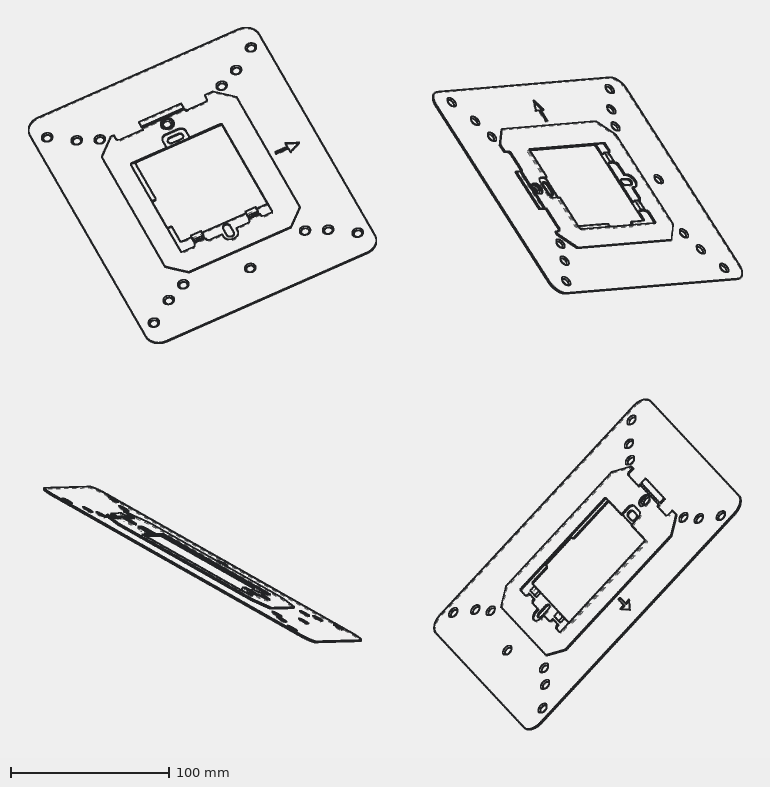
import cadquery as cq

TILT_ABOUT_Y = 33.3
TILT_ABOUT_X = 20.0

PLATE_LENGTH = 200.0
PLATE_WIDTH = 160.0
SHEET_THICKNESS = 1.0
PLATE_CORNER_RADIUS = 10.0

HOLE_DIAMETER = 5.0
HOLE_MOUTH_DIAMETER = 7.0
CORNER_HOLES = [(83.0, 71.2), (71.5, 55.6), (64.9, 42.5)]
LEFT_HOLE_X = -55.0
RIGHT_HOLE_X = 74.3

ARROW_TIP_Y = 67.5
ARROW_HEAD_LENGTH = 7.8
ARROW_HEAD_WIDTH = 8.1
ARROW_LENGTH = 16.3
ARROW_SHAFT_WIDTH = 1.5

WINDOW_TOP = 30.3
PLATE_WINDOW_LEFT = -37.7
PLATE_WINDOW_RIGHT = 33.8
PLATE_WINDOW_BOTTOM = -WINDOW_TOP
FRAME_WINDOW_LEFT = -37.3
FRAME_WINDOW_RIGHT = 42.1
FRAME_WINDOW_BOTTOM = -33.5
WINDOW_CORNER_RADIUS = 1.0

NOTCH_LEFT = -4.5
NOTCH_RIGHT = 19.6

SLOT_LENGTH = 10.5
SLOT_WIDTH = 4.8
LEFT_SLOT_X = -42.0
RIGHT_SLOT_X = 40.5

FRAME_THICKNESS = SHEET_THICKNESS
FRAME_LEFT = -62.8
FRAME_RIGHT = 58.5
FRAME_WIDTH = 94.3
FRAME_CORNER_CUT = 11.5

RECESS_X = -57.7
RECESS_TOP = 30.0
RECESS_BOTTOM = -33.5
LIP_X = -59.0
LIP_WIDTH = 30.1
LIP_Y = -0.4

HOLE_CLEARANCE_DIAMETER = 8.5
HOLE_CLEARANCE_X = -54.2
LEFT_CLEARANCE_X = -47.1
LEFT_CLEARANCE_WIDTH = 16.0
LEFT_CLEARANCE_RADIUS = 3.7
RIGHT_CLEARANCE_END_X = 48.8
RIGHT_CLEARANCE_WIDTH = 9.8

LUG_X = 39.5
LUG_WIDTH = 8.0
LUG_CENTRES_Y = (18.7, -19.5)
BEND_RADIUS = 2.0

LEFT_STOP_X = -64.3
LEFT_STOP_LENGTH = 4.0
LEFT_STOP_WIDTH = 29.5
LEFT_STOP_Y = -0.5
LEFT_STOP_HEIGHT = FRAME_THICKNESS
RIGHT_STOP_X = PLATE_WINDOW_RIGHT
RIGHT_STOP_LENGTH = 3.9
RIGHT_STOP_WIDTH = 7.2
RIGHT_STOP_HEIGHT = 2 * FRAME_THICKNESS


def block(left, right, bottom, top, height):
    """A block between the given X and Y limits, rising from Z = 0."""
    return cq.Workplane("XY").box(right - left, top - bottom, height, centered=False).translate((left, bottom, 0))


def centred_block(left, right, middle_y, width, height):
    """A block given by its X limits, the Y of its middle and its width."""
    return block(left, right, middle_y - width / 2, middle_y + width / 2, height)


def countersunk_holes():
    """Conical holes, wide end up."""
    centres = [(LEFT_HOLE_X, 0), (RIGHT_HOLE_X, 0)]
    for x, y in CORNER_HOLES:
        centres += [(x, y), (-x, y), (-x, -y), (x, -y)]
    cone = cq.Solid.makeCone(HOLE_DIAMETER / 2, HOLE_MOUTH_DIAMETER / 2, SHEET_THICKNESS)
    return cq.Workplane("XY").pushPoints(centres).eachpoint(cone, combine=False)


def arrow():
    half_head = ARROW_HEAD_WIDTH / 2
    half_shaft = ARROW_SHAFT_WIDTH / 2
    head_y = ARROW_TIP_Y - ARROW_HEAD_LENGTH
    tail_y = ARROW_TIP_Y - ARROW_LENGTH
    right_side = [(half_head, head_y), (half_shaft, head_y), (half_shaft, tail_y)]
    left_side = [(-x, y) for x, y in reversed(right_side)]
    outline = cq.Workplane("XY").polyline([(0, ARROW_TIP_Y)] + right_side + left_side).close()
    return outline.extrude(SHEET_THICKNESS)


def plate_window():
    """Window with a notch in its bottom edge."""
    opening = block(PLATE_WINDOW_LEFT, PLATE_WINDOW_RIGHT, PLATE_WINDOW_BOTTOM, WINDOW_TOP, SHEET_THICKNESS)
    notch = block(NOTCH_LEFT, NOTCH_RIGHT, FRAME_WINDOW_BOTTOM, WINDOW_TOP, SHEET_THICKNESS)
    return opening.union(notch).edges("|Z").fillet(WINDOW_CORNER_RADIUS)


def screw_slot(x, angle):
    return cq.Workplane("XY").center(x, 0).slot2D(SLOT_LENGTH, SLOT_WIDTH, angle).extrude(SHEET_THICKNESS)


def make_plate():
    plate = cq.Workplane("XY").rect(PLATE_LENGTH, PLATE_WIDTH).extrude(SHEET_THICKNESS)
    plate = plate.edges("|Z").fillet(PLATE_CORNER_RADIUS)
    plate = plate.cut(countersunk_holes())
    plate = plate.cut(arrow())
    plate = plate.cut(plate_window())
    plate = plate.cut(screw_slot(LEFT_SLOT_X, 90))
    plate = plate.cut(screw_slot(RIGHT_SLOT_X, 0))
    plate = plate.translate((0, 0, -SHEET_THICKNESS))

    left_stop_end = LEFT_STOP_X + LEFT_STOP_LENGTH
    right_stop_end = RIGHT_STOP_X + RIGHT_STOP_LENGTH
    plate = plate.union(
        centred_block(LEFT_STOP_X, left_stop_end, LEFT_STOP_Y, LEFT_STOP_WIDTH, LEFT_STOP_HEIGHT)
    )
    for y in LUG_CENTRES_Y:
        plate = plate.union(
            centred_block(RIGHT_STOP_X, right_stop_end, y, RIGHT_STOP_WIDTH, RIGHT_STOP_HEIGHT)
        )
    return plate


def edge_recess():
    """Material taken off the frame's left edge, leaving the lip."""
    recess = block(FRAME_LEFT, RECESS_X, RECESS_BOTTOM, RECESS_TOP, FRAME_THICKNESS)
    recess = recess.edges("|Z and >X").fillet(BEND_RADIUS)
    return recess.cut(centred_block(LIP_X, RECESS_X, LIP_Y, LIP_WIDTH, FRAME_THICKNESS))


def frame_window():
    """Window with the lugs standing into its right edge."""
    opening = block(FRAME_WINDOW_LEFT, FRAME_WINDOW_RIGHT, FRAME_WINDOW_BOTTOM, WINDOW_TOP, FRAME_THICKNESS)
    opening = opening.edges("|Z").fillet(WINDOW_CORNER_RADIUS)
    for y in LUG_CENTRES_Y:
        opening = opening.cut(centred_block(LUG_X, FRAME_WINDOW_RIGHT, y, LUG_WIDTH, FRAME_THICKNESS))
        for side_y in (y - LUG_WIDTH / 2, y + LUG_WIDTH / 2):
            root = cq.selectors.NearestToPointSelector((FRAME_WINDOW_RIGHT, side_y, FRAME_THICKNESS / 2))
            opening = opening.edges(root).fillet(BEND_RADIUS)
    return opening


def left_slot_clearance():
    clearance = centred_block(LEFT_CLEARANCE_X, FRAME_WINDOW_LEFT, 0, LEFT_CLEARANCE_WIDTH, FRAME_THICKNESS)
    return clearance.edges("|Z and <X").fillet(LEFT_CLEARANCE_RADIUS)


def right_slot_clearance():
    """Round-ended clearance that opens into the frame's window."""
    end_centre_x = RIGHT_CLEARANCE_END_X - RIGHT_CLEARANCE_WIDTH / 2
    straight = centred_block(RIGHT_SLOT_X, end_centre_x, 0, RIGHT_CLEARANCE_WIDTH, FRAME_THICKNESS)
    round_end = cq.Workplane("XY").center(end_centre_x, 0).circle(RIGHT_CLEARANCE_WIDTH / 2)
    return straight.union(round_end.extrude(FRAME_THICKNESS))


def hole_clearance():
    circle = cq.Workplane("XY").center(HOLE_CLEARANCE_X, 0).circle(HOLE_CLEARANCE_DIAMETER / 2)
    return circle.extrude(FRAME_THICKNESS)


def make_frame():
    frame = centred_block(FRAME_LEFT, FRAME_RIGHT, 0, FRAME_WIDTH, FRAME_THICKNESS)
    frame = frame.edges("|Z").chamfer(FRAME_CORNER_CUT)
    frame = frame.cut(edge_recess())
    frame = frame.cut(frame_window())
    frame = frame.cut(left_slot_clearance())
    frame = frame.cut(right_slot_clearance())
    return frame.cut(hole_clearance())


def tilt(body):
    turned = body.rotate((0, 0, 0), (0, 1, 0), TILT_ABOUT_Y)
    return turned.rotate((0, 0, 0), (1, 0, 0), TILT_ABOUT_X)


plate = tilt(make_plate())
frame = tilt(make_frame())

result = cq.Compound.makeCompound([plate.val(), frame.val()])